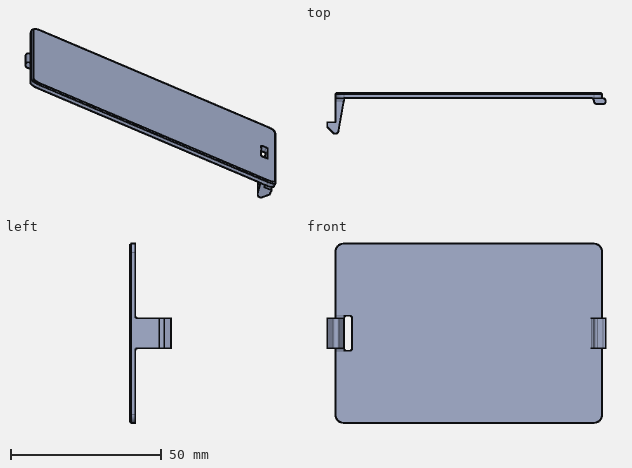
import cadquery as cq
import math

plate_height = 59.6
plate_thickness = 1.8
plate_corner_radius = 2.85
plate_edge_chamfer = 0.5

overall_length = 92.5
overall_depth = 13.64

clip_width = 10.0

hook_overhang = 2.7
hook_shoulder_depth = 9.75
hook_ramp_angle = math.radians(45)
arm_root_thickness = 3.0
arm_taper = math.radians(10)
arm_root_fillet = 0.8
arm_tip_radius = 1.1

slot_length = 2.5
slot_width = clip_width + 2 * arm_root_fillet
slot_corner_radius = 0.7

tongue_overhang = 1.2
tongue_height = 2.0
tongue_end_radius = tongue_height / 2
tongue_heel_radius = 1.1
tongue_root_fillet = tongue_height - tongue_heel_radius
tongue_flat_length = 1.9

plate_length = overall_length - hook_overhang - tongue_overhang
plate_left = -plate_length / 2
plate_right = plate_length / 2
inner_face = -plate_thickness
arm_root_inside = plate_left + arm_root_thickness


def extrude_across(profile, width):
    """Extrude an XY profile along Z, centred on Z = 0."""
    return profile.extrude(width / 2, both=True)


def make_plate():
    plate = cq.Workplane("XY").box(
        plate_length, plate_thickness, plate_height, centered=(True, False, True)
    ).translate((0, inner_face, 0))
    plate = plate.edges("|Y").fillet(plate_corner_radius)
    return plate.faces(">Y").chamfer(plate_edge_chamfer)


def make_relief_slot():
    slot = cq.Workplane("XY").box(
        slot_length, plate_thickness, slot_width, centered=(False, False, True)
    ).translate((arm_root_inside, inner_face, 0))
    return slot.edges("|Y").fillet(slot_corner_radius)


def arm_inside_x(y):
    """X of the tapered inside face of the arm at a given Y."""
    return arm_root_inside + (y - inner_face) * math.tan(arm_taper)


def make_snap_arm():
    nose_x = plate_left - hook_overhang
    tip_y = -overall_depth + arm_tip_radius
    tip_x = arm_inside_x(tip_y) - arm_tip_radius / math.cos(arm_taper)

    def on_tip(angle):
        return (tip_x + arm_tip_radius * math.cos(angle), tip_y + arm_tip_radius * math.sin(angle))

    ramp_end = on_tip(-math.pi / 2 - hook_ramp_angle)
    nose_y = ramp_end[1] + (ramp_end[0] - nose_x) * math.tan(hook_ramp_angle)

    profile = (
        cq.Workplane("XY")
        .moveTo(plate_left, inner_face)
        .lineTo(plate_left, -hook_shoulder_depth)
        .lineTo(nose_x, -hook_shoulder_depth)
        .lineTo(nose_x, nose_y)
        .lineTo(*ramp_end)
        .threePointArc(on_tip(-math.pi / 2), on_tip(-arm_taper))
        .lineTo(arm_root_inside, inner_face)
        .close()
    )
    return extrude_across(profile, clip_width)


def make_arm_root_flare():
    """Straight-sided arm root, widened in Z by concave fillets where it meets the plate."""
    flare_end = inner_face - arm_root_fillet
    flare = cq.Workplane("XY").box(
        arm_root_thickness, arm_root_fillet, slot_width, centered=(False, False, True)
    ).translate((plate_left, flare_end, 0))
    for side in (-1, 1):
        scoop = (
            cq.Workplane("YZ", origin=(plate_left, 0, 0))
            .center(flare_end, side * slot_width / 2)
            .circle(arm_root_fillet)
            .extrude(arm_root_thickness)
        )
        flare = flare.cut(scoop)
    return flare


def make_tongue():
    """Tongue with a rounded free end, a rounded heel and a concave root fillet."""
    end_x = plate_right + tongue_overhang
    end_center_x = end_x - tongue_end_radius
    flat_start_x = end_center_x - tongue_flat_length
    heel_x = flat_start_x - tongue_heel_radius
    root_x = heel_x - tongue_root_fillet
    bottom = inner_face - tongue_height
    heel_top = inner_face - tongue_root_fillet
    diagonal = math.sqrt(0.5)

    root_mid = (root_x + tongue_root_fillet * diagonal, heel_top + tongue_root_fillet * diagonal)
    heel_mid = (
        flat_start_x - tongue_heel_radius * diagonal,
        heel_top - tongue_heel_radius * diagonal,
    )
    profile = (
        cq.Workplane("XY")
        .moveTo(root_x, inner_face)
        .threePointArc(root_mid, (heel_x, heel_top))
        .threePointArc(heel_mid, (flat_start_x, bottom))
        .lineTo(end_center_x, bottom)
        .threePointArc((end_x, inner_face - tongue_end_radius), (end_center_x, inner_face))
        .close()
    )
    return extrude_across(profile, clip_width)


result = (
    make_plate()
    .cut(make_relief_slot())
    .union(make_snap_arm())
    .union(make_arm_root_flare())
    .union(make_tongue())
)